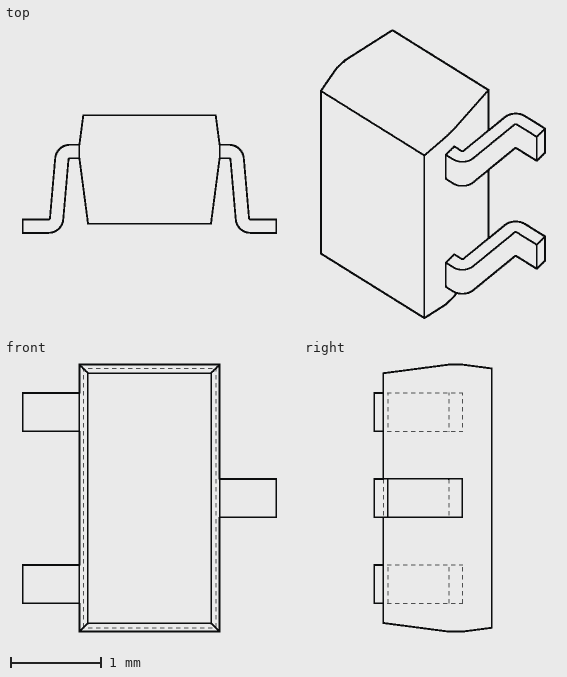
import cadquery as cq
import math

HOUSING_WIDTH = 1.55
HOUSING_HEIGHT = 2.95
OVERALL_DEPTH = 1.3
STANDOFF = 0.1
DRAFT_ANGLE = 7.5

LEAD_SPAN = 2.8
LEAD_THICKNESS = 0.15
LEAD_WIDTH = 0.425
LEAD_TOP = 0.975
LEAD_PITCH = 1.9
LEG_ANGLE = math.radians(5)
INNER_BEND_RADIUS = 0.015
FOOT_LENGTH = 0.285

OUTER_BEND_RADIUS = INNER_BEND_RADIUS + LEAD_THICKNESS
MIDDLE_BEND_RADIUS = INNER_BEND_RADIUS + LEAD_THICKNESS / 2
LEAD_BOTTOM = LEAD_TOP - LEAD_THICKNESS


def housing_block(start_y, depth, draft=0):
    """Rectangular block grown along Y from start_y; a negative depth grows toward -Y."""
    plane = cq.Plane(origin=(0, start_y, 0), xDir=(1, 0, 0), normal=(0, math.copysign(1, depth), 0))
    return cq.Workplane(plane).rect(HOUSING_WIDTH, HOUSING_HEIGHT).extrude(abs(depth), taper=draft)


def make_housing():
    band = housing_block(LEAD_BOTTOM, LEAD_THICKNESS)
    top_block = housing_block(LEAD_TOP, OVERALL_DEPTH - LEAD_TOP, DRAFT_ANGLE)
    bottom_block = housing_block(LEAD_BOTTOM, STANDOFF - LEAD_BOTTOM, DRAFT_ANGLE)
    return band.union(top_block).union(bottom_block)


def point_at(center, radius, angle):
    return (center[0] + radius * math.cos(angle), center[1] + radius * math.sin(angle))


def make_lead(side, center_z):
    """Lead bent in the XY plane, ending flush on the housing side (side is -1 or +1)."""
    tip_x = LEAD_SPAN / 2
    wall_x = HOUSING_WIDTH / 2

    foot_center = (tip_x - FOOT_LENGTH, OUTER_BEND_RADIUS)
    center_rise = LEAD_TOP - 2 * OUTER_BEND_RADIUS
    center_offset = (2 * MIDDLE_BEND_RADIUS + center_rise * math.sin(LEG_ANGLE)) / math.cos(LEG_ANGLE)
    shoulder_center = (foot_center[0] - center_offset, LEAD_TOP - OUTER_BEND_RADIUS)

    shoulder_start = math.pi / 2
    shoulder_end = LEG_ANGLE
    shoulder_middle = (shoulder_start + shoulder_end) / 2
    foot_start = shoulder_end + math.pi
    foot_end = shoulder_start + math.pi
    foot_middle = shoulder_middle + math.pi

    profile = (
        cq.Workplane("XY", origin=(0, 0, center_z - LEAD_WIDTH / 2))
        .moveTo(wall_x, LEAD_TOP)
        .lineTo(*point_at(shoulder_center, OUTER_BEND_RADIUS, shoulder_start))
        .threePointArc(
            point_at(shoulder_center, OUTER_BEND_RADIUS, shoulder_middle),
            point_at(shoulder_center, OUTER_BEND_RADIUS, shoulder_end),
        )
        .lineTo(*point_at(foot_center, INNER_BEND_RADIUS, foot_start))
        .threePointArc(
            point_at(foot_center, INNER_BEND_RADIUS, foot_middle),
            point_at(foot_center, INNER_BEND_RADIUS, foot_end),
        )
        .lineTo(tip_x, LEAD_THICKNESS)
        .lineTo(tip_x, 0)
        .lineTo(*point_at(foot_center, OUTER_BEND_RADIUS, foot_end))
        .threePointArc(
            point_at(foot_center, OUTER_BEND_RADIUS, foot_middle),
            point_at(foot_center, OUTER_BEND_RADIUS, foot_start),
        )
        .lineTo(*point_at(shoulder_center, INNER_BEND_RADIUS, shoulder_end))
        .threePointArc(
            point_at(shoulder_center, INNER_BEND_RADIUS, shoulder_middle),
            point_at(shoulder_center, INNER_BEND_RADIUS, shoulder_start),
        )
        .lineTo(wall_x, LEAD_BOTTOM)
        .close()
    )
    lead = profile.extrude(LEAD_WIDTH)
    return lead if side > 0 else lead.mirror("YZ")


housing = make_housing()

lead_places = [(-1, LEAD_PITCH / 2), (-1, -LEAD_PITCH / 2), (1, 0)]
leads = [make_lead(side, center_z) for side, center_z in lead_places]

result = cq.Compound.makeCompound([housing.val()] + [lead.val() for lead in leads])